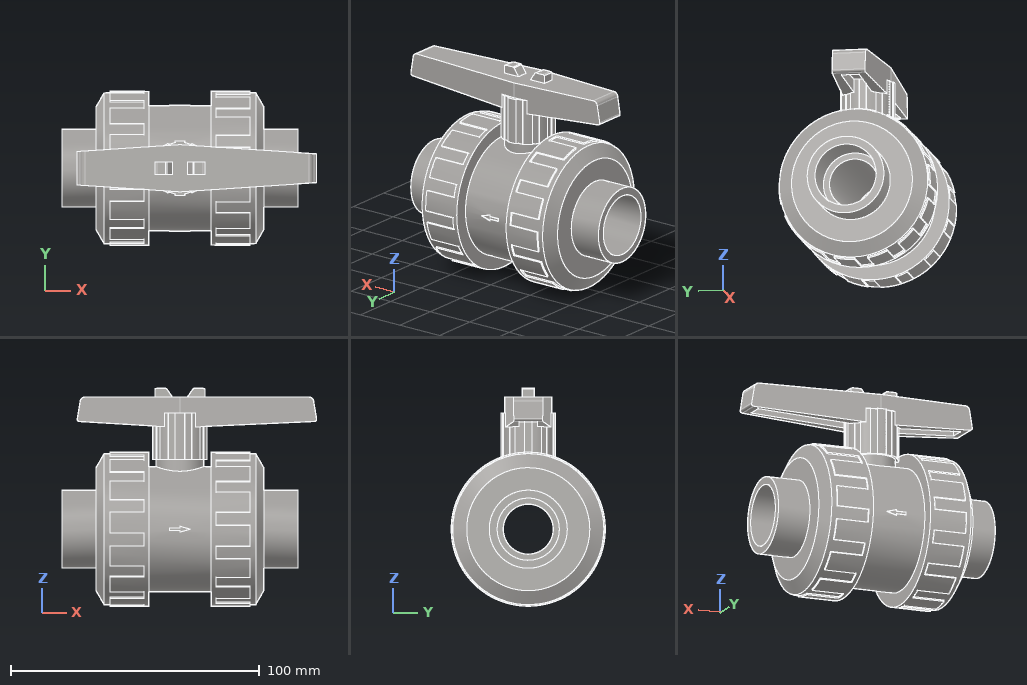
import cadquery as cq
import math


PIPE_HALF_LENGTH = 47.5
PIPE_RADIUS = 15.7
SOCKET_RADIUS = 12.5
SOCKET_DEPTH = 18.0
BORE_RADIUS = 10.0

BODY_RADIUS = 25.2

NUT_RADIUS = 31.0
NUT_INNER_FACE = 12.5
NUT_OUTER_FACE = 33.75
NUT_CONE_START = 30.5
NUT_CONE_END_RADIUS = 24.75
GRIP_START = 14.5
GRIP_END = 28.2
GRIP_DEPTH = 0.6
GRIP_COUNT = 14
GRIP_ANGLE = 9.8
GRIP_PITCH = 360 / GRIP_COUNT
FIRST_LAND_ANGLE = 5.0

ARROW_TAIL = -4.2
ARROW_NECK = 0.0
ARROW_TIP = 4.1
ARROW_SHAFT_HALF = 0.55
ARROW_HEAD_HALF = 1.2
ARROW_RELIEF = 0.25

NECK_RADIUS = 9.65
STEM_RADIUS = 11.05
STEM_BOTTOM = 28.0
STEM_TOP = 46.8
FLUTE_COUNT = 10
FLUTE_WIDTH = 2.9
FLUTE_DEPTH = 0.6

HANDLE_LEFT = -41.5
HANDLE_RIGHT = 55.17
HANDLE_TOP = 53.15
HANDLE_END_BOTTOM = 43.3
HANDLE_MID_BOTTOM = 40.8
HANDLE_END_LEAN = 1.65
HANDLE_MID_HALF_WIDTH = 9.5
HANDLE_SIDE_SLOPE = 0.067
HANDLE_TOP_FILLET = 2.0
HANDLE_BOTTOM_FILLET = 1.0
CHANNEL_WIDTH = 7.3
CHANNEL_END_WALL = 4.0
CHANNEL_ROOF = STEM_TOP

POST_TOP = 56.67
POST_WIDTH = 5.0
POST_OUTER = 10.1
POST_BEVEL_INNER = 5.25
POST_BASE_INNER = 3.0
POST_BEVEL_DROP = 0.25
POST_OUTER_BEVEL = 0.8
POST_INNER_BEVEL = 0.5


def x_cylinder(radius, start, end):
    return cq.Workplane("YZ").workplane(offset=start).circle(radius).extrude(end - start)


def mirrored_pair(shape):
    """The shape together with its half-turn copy about the stem axis."""
    return shape.union(shape.rotate((0, 0, 0), (0, 0, 1), 180), clean=False)


def polar_point(radius, angle):
    return radius * math.cos(math.radians(angle)), radius * math.sin(math.radians(angle))


def make_land_sector(angle):
    """Sector over one land between grip recesses, centred `angle` degrees above +Y."""
    inner_radius = NUT_RADIUS - 2 * GRIP_DEPTH
    outer_radius = NUT_RADIUS + 2 * GRIP_DEPTH
    half_angle = (GRIP_PITCH - GRIP_ANGLE) / 2
    start = angle - half_angle
    end = angle + half_angle
    return (
        cq.Workplane("YZ")
        .workplane(offset=GRIP_START)
        .moveTo(*polar_point(inner_radius, start))
        .threePointArc(polar_point(inner_radius, angle), polar_point(inner_radius, end))
        .lineTo(*polar_point(outer_radius, end))
        .threePointArc(polar_point(outer_radius, angle), polar_point(outer_radius, start))
        .close()
        .extrude(GRIP_END - GRIP_START)
    )


def make_rim_cutter():
    """Thin ring that lowers the nut to its shoulder and grip recesses, sparing the lands."""
    cutter = (
        cq.Workplane("YZ")
        .workplane(offset=GRIP_START)
        .circle(NUT_RADIUS + GRIP_DEPTH)
        .circle(NUT_RADIUS - GRIP_DEPTH)
        .extrude(NUT_CONE_START - GRIP_START)
    )
    for i in range(GRIP_COUNT):
        land = make_land_sector(FIRST_LAND_ANGLE + i * GRIP_PITCH)
        cutter = cutter.cut(land, clean=False)
    return cutter


def make_nut():
    """Union nut on the +X side: rim with grip recesses, then a conical outer end."""
    rim = x_cylinder(NUT_RADIUS, NUT_INNER_FACE, NUT_CONE_START).cut(make_rim_cutter(), clean=False)
    cone = (
        cq.Workplane("XY")
        .polyline([
            (NUT_CONE_START, 0),
            (NUT_CONE_START, NUT_RADIUS - GRIP_DEPTH),
            (NUT_OUTER_FACE, NUT_CONE_END_RADIUS),
            (NUT_OUTER_FACE, 0),
        ])
        .close()
        .revolve(360, (0, 0, 0), (1, 0, 0))
    )
    return rim.union(cone, clean=False)


def make_arrows():
    """Flow arrows standing proud of the body on -Y and +Y."""
    half_thickness = BODY_RADIUS + ARROW_RELIEF
    return (
        cq.Workplane("XZ")
        .polyline([
            (ARROW_TAIL, -ARROW_SHAFT_HALF),
            (ARROW_NECK, -ARROW_SHAFT_HALF),
            (ARROW_NECK, -ARROW_HEAD_HALF),
            (ARROW_TIP, 0),
            (ARROW_NECK, ARROW_HEAD_HALF),
            (ARROW_NECK, ARROW_SHAFT_HALF),
            (ARROW_TAIL, ARROW_SHAFT_HALF),
        ])
        .close()
        .extrude(half_thickness, both=True)
    )


def make_stem():
    """Round neck carrying a fluted sleeve."""
    height = STEM_TOP - STEM_BOTTOM
    neck = cq.Workplane("XY").circle(NECK_RADIUS).extrude(STEM_TOP)
    sleeve = cq.Workplane("XY").workplane(offset=STEM_BOTTOM).circle(STEM_RADIUS).extrude(height)
    flutes = (
        cq.Workplane("XY")
        .workplane(offset=STEM_BOTTOM)
        .polarArray(STEM_RADIUS, 0, 360, FLUTE_COUNT)
        .rect(2 * FLUTE_DEPTH, FLUTE_WIDTH)
        .extrude(height)
    )
    return neck.union(sleeve.cut(flutes))


def make_handle_side_profile():
    """Handle outline seen along Y, with rounded ends, before its width is tapered."""
    return (
        cq.Workplane("XZ")
        .polyline([
            (HANDLE_LEFT, HANDLE_END_BOTTOM),
            (0, HANDLE_MID_BOTTOM),
            (HANDLE_RIGHT, HANDLE_END_BOTTOM),
            (HANDLE_RIGHT - HANDLE_END_LEAN, HANDLE_TOP),
            (HANDLE_LEFT + HANDLE_END_LEAN, HANDLE_TOP),
        ])
        .close()
        .extrude(HANDLE_MID_HALF_WIDTH, both=True)
        .faces(">Z").edges("|Y").fillet(HANDLE_TOP_FILLET)
        .edges("|Y and (<X or >X)").fillet(HANDLE_BOTTOM_FILLET)
    )


def make_handle():
    """Lever, widest and deepest over the stem, with a channel along its underside."""
    left_half = HANDLE_MID_HALF_WIDTH + HANDLE_SIDE_SLOPE * HANDLE_LEFT
    right_half = HANDLE_MID_HALF_WIDTH - HANDLE_SIDE_SLOPE * HANDLE_RIGHT
    plan = (
        cq.Workplane("XY")
        .polyline([
            (HANDLE_LEFT, -left_half),
            (0, -HANDLE_MID_HALF_WIDTH),
            (HANDLE_RIGHT, -right_half),
            (HANDLE_RIGHT, right_half),
            (0, HANDLE_MID_HALF_WIDTH),
            (HANDLE_LEFT, left_half),
        ])
        .close()
        .extrude(HANDLE_TOP)
    )
    channel_start = HANDLE_LEFT + CHANNEL_END_WALL
    channel_end = HANDLE_RIGHT - CHANNEL_END_WALL
    channel = (
        cq.Workplane("XY")
        .center((channel_start + channel_end) / 2, 0)
        .rect(channel_end - channel_start, CHANNEL_WIDTH)
        .extrude(CHANNEL_ROOF)
    )
    return make_handle_side_profile().intersect(plan).cut(channel)


def make_post():
    """Post on the +X side, with an inner face that slopes down toward the stem axis."""
    shoulder = POST_TOP - POST_BEVEL_DROP
    return (
        cq.Workplane("XZ")
        .polyline([
            (POST_BASE_INNER, HANDLE_TOP),
            (POST_OUTER, HANDLE_TOP),
            (POST_OUTER, shoulder),
            (POST_OUTER - POST_OUTER_BEVEL, POST_TOP),
            (POST_BEVEL_INNER + POST_INNER_BEVEL, POST_TOP),
            (POST_BEVEL_INNER, shoulder),
        ])
        .close()
        .extrude(POST_WIDTH / 2, both=True)
    )


body = x_cylinder(BODY_RADIUS, -NUT_INNER_FACE, NUT_INNER_FACE)
pipe = x_cylinder(PIPE_RADIUS, -PIPE_HALF_LENGTH, PIPE_HALF_LENGTH)
socket = x_cylinder(SOCKET_RADIUS, PIPE_HALF_LENGTH - SOCKET_DEPTH, PIPE_HALF_LENGTH)
bore = x_cylinder(BORE_RADIUS, -PIPE_HALF_LENGTH, PIPE_HALF_LENGTH)

housing = body.union(make_arrows()).union(make_stem()).union(pipe)
housing = housing.union(mirrored_pair(make_nut()), clean=False)
housing = housing.cut(bore, clean=False).cut(mirrored_pair(socket), clean=False)

result = housing.union(make_handle(), clean=False).union(mirrored_pair(make_post()), clean=False)